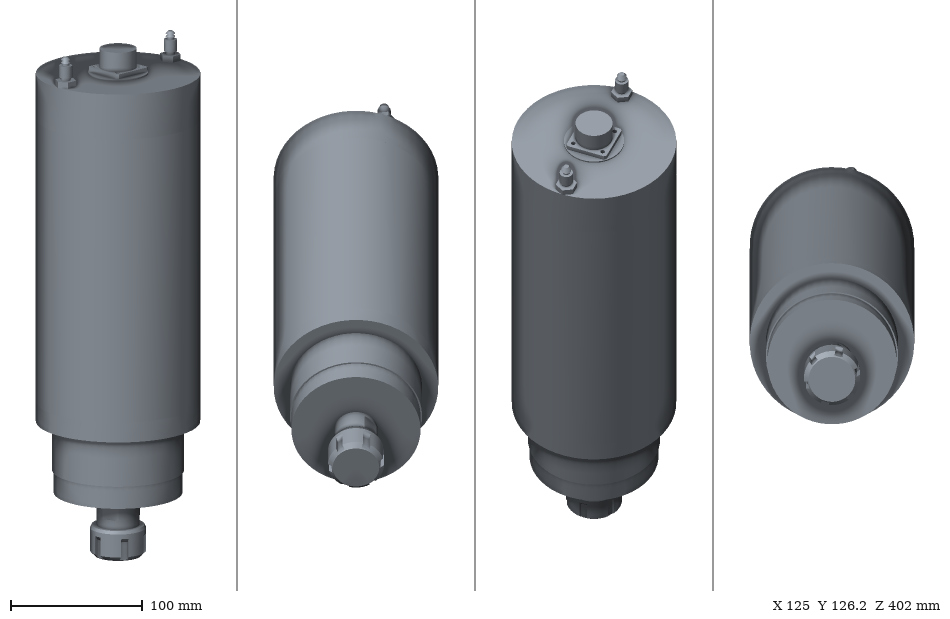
import cadquery as cq
import math

NUT_TOP_Z = 24.0
SHAFT_STEP_Z = 31.5
NOSE_BOTTOM_Z = 49.5
NOSE_STEP_Z = 67.0
FLANGE_BOTTOM_Z = 105.5
TUBE_BOTTOM_Z = 121.0
CAP_BOTTOM_Z = 343.7
CAP_TOP_Z = 379.0
FITTING_TOP_Z = 402.0

HOUSING_DIAMETER = 125.0
HOUSING_RADIUS = HOUSING_DIAMETER / 2
NOSE_RADIUS = 50.2
NOSE_LOWER_RADIUS = 49.0

SHAFT_RADIUS = 16.5
SHAFT_STEP = 0.2
FLAT_TOP_Z = 46.0
ACROSS_FLATS = 30.0
FLAT_NORMAL_ANGLE = -66.4

NUT_RADIUS = 21.5
NUT_TOP_RADIUS = 20.0
NUT_TOP_CHAMFER_HEIGHT = 2.5
NUT_BOTTOM_CHAMFER = 3.5
NUT_SLOT_COUNT = 6
NUT_SLOT_WIDTH = 6.0
NUT_SLOT_DEPTH = 3.0
NUT_SLOT_RUNOUT_HEIGHT = 3.2
NUT_SLOT_TOP_Z = 18.0

GASKET_RADIUS = 23.0
GASKET_THICKNESS = 1.2
PLATE_SIDE = 33.0
PLATE_CORNER_CHAMFER = 1.5
PLATE_THICKNESS = 3.5
PLUG_RADIUS = 14.0
CONNECTOR_TOP_Z = 398.8
SCREW_HOLE_DIAMETER = 3.5
SCREW_HOLE_SPACING = 24.0

FITTING_OFFSET = 55.0
HEX_ACROSS_FLATS = 14.0
HEX_HEIGHT = 5.0
NECK_RADIUS = 3.5
COLLAR_DIAMETER = 10.0
COLLAR_RADIUS = COLLAR_DIAMETER / 2
COLLAR_BOTTOM = 7.2
COLLAR_TOP = 16.5
STEM_RADIUS = 3.0
BARB_RADIUS = 3.5
BARB_TIP_HEIGHTS = (18.5, 21.0)
BARB_TAPER_HEIGHT = 2.0
BARB_NARROW_RADIUS = 2.0


def disc(radius, bottom_z, top_z):
    return cq.Workplane("XY").workplane(offset=bottom_z).circle(radius).extrude(top_z - bottom_z)


def make_nose():
    lower = disc(NOSE_LOWER_RADIUS, NOSE_BOTTOM_Z, NOSE_STEP_Z)
    return lower.union(disc(NOSE_RADIUS, NOSE_STEP_Z, FLANGE_BOTTOM_Z))


def make_shaft():
    flatted = disc(SHAFT_RADIUS, SHAFT_STEP_Z, FLAT_TOP_Z).intersect(
        cq.Workplane("XY")
        .workplane(offset=SHAFT_STEP_Z)
        .rect(ACROSS_FLATS, 2 * SHAFT_RADIUS)
        .extrude(FLAT_TOP_Z - SHAFT_STEP_Z)
        .rotate((0, 0, 0), (0, 0, 1), FLAT_NORMAL_ANGLE)
    )
    lower = disc(SHAFT_RADIUS - SHAFT_STEP, NUT_TOP_Z, SHAFT_STEP_Z)
    upper = disc(SHAFT_RADIUS, FLAT_TOP_Z, NOSE_BOTTOM_Z)
    return lower.union(flatted).union(upper)


def make_nut():
    nut = (
        cq.Workplane("XZ")
        .moveTo(0, 0)
        .lineTo(NUT_RADIUS - NUT_BOTTOM_CHAMFER, 0)
        .lineTo(NUT_RADIUS, NUT_BOTTOM_CHAMFER)
        .lineTo(NUT_RADIUS, NUT_TOP_Z - NUT_TOP_CHAMFER_HEIGHT)
        .lineTo(NUT_TOP_RADIUS, NUT_TOP_Z)
        .lineTo(0, NUT_TOP_Z)
        .close()
        .revolve(360, (0, 0, 0), (0, 1, 0))
    )
    floor_radius = NUT_RADIUS - NUT_SLOT_DEPTH
    outside_radius = NUT_RADIUS + NUT_SLOT_DEPTH
    slot = (
        cq.Workplane("XZ")
        .moveTo(floor_radius, 0)
        .lineTo(floor_radius, NUT_SLOT_TOP_Z - NUT_SLOT_RUNOUT_HEIGHT)
        .lineTo(NUT_RADIUS, NUT_SLOT_TOP_Z)
        .lineTo(outside_radius, NUT_SLOT_TOP_Z)
        .lineTo(outside_radius, 0)
        .close()
        .extrude(NUT_SLOT_WIDTH / 2, both=True)
    )
    pitch = 360 / NUT_SLOT_COUNT
    for index in range(NUT_SLOT_COUNT):
        nut = nut.cut(slot.rotate((0, 0, 0), (0, 0, 1), (index + 0.5) * pitch))
    return nut


def make_connector():
    plate_bottom_z = CAP_TOP_Z + GASKET_THICKNESS
    plate = (
        cq.Workplane("XY")
        .workplane(offset=plate_bottom_z)
        .rect(PLATE_SIDE, PLATE_SIDE)
        .extrude(PLATE_THICKNESS)
        .edges("|Z")
        .chamfer(PLATE_CORNER_CHAMFER)
        .faces(">Z")
        .workplane()
        .rect(SCREW_HOLE_SPACING, SCREW_HOLE_SPACING, forConstruction=True)
        .vertices()
        .hole(SCREW_HOLE_DIAMETER)
    )
    return plate.union(disc(PLUG_RADIUS, plate_bottom_z + PLATE_THICKNESS, CONNECTOR_TOP_Z))


def make_fitting(center_y):
    fitting_height = FITTING_TOP_Z - CAP_TOP_Z
    profile = (
        cq.Workplane("XZ")
        .moveTo(0, 0)
        .lineTo(NECK_RADIUS, 0)
        .lineTo(NECK_RADIUS, COLLAR_BOTTOM)
        .lineTo(COLLAR_RADIUS, COLLAR_BOTTOM)
        .lineTo(COLLAR_RADIUS, COLLAR_TOP)
        .lineTo(STEM_RADIUS, COLLAR_TOP)
    )
    for tip_height in BARB_TIP_HEIGHTS:
        profile = (
            profile.lineTo(STEM_RADIUS, tip_height)
            .lineTo(BARB_RADIUS, tip_height)
            .lineTo(BARB_NARROW_RADIUS, tip_height + BARB_TAPER_HEIGHT)
        )
    turned = profile.lineTo(0, fitting_height).close().revolve(360, (0, 0, 0), (0, 1, 0))
    corner_diameter = HEX_ACROSS_FLATS / math.cos(math.radians(30))
    hexagon = (
        cq.Workplane("XY").polygon(6, corner_diameter).extrude(HEX_HEIGHT).rotate((0, 0, 0), (0, 0, 1), 90)
    )
    return hexagon.union(turned).translate((0, center_y, CAP_TOP_Z))


rear_cap = disc(HOUSING_RADIUS, CAP_BOTTOM_Z, CAP_TOP_Z)
tube = disc(HOUSING_RADIUS, TUBE_BOTTOM_Z, CAP_BOTTOM_Z)
front_flange = disc(HOUSING_RADIUS, FLANGE_BOTTOM_Z, TUBE_BOTTOM_Z)
nose = make_nose()
shaft = make_shaft()
nut = make_nut()
gasket = disc(GASKET_RADIUS, CAP_TOP_Z, CAP_TOP_Z + GASKET_THICKNESS)
connector = make_connector()
fittings = [make_fitting(side * FITTING_OFFSET) for side in (-1, 1)]

result = cq.Compound.makeCompound(
    [
        rear_cap.val(),
        tube.val(),
        front_flange.val(),
        nose.val(),
        shaft.val(),
        nut.val(),
        gasket.val(),
        connector.val(),
        *[fitting.val() for fitting in fittings],
    ]
)